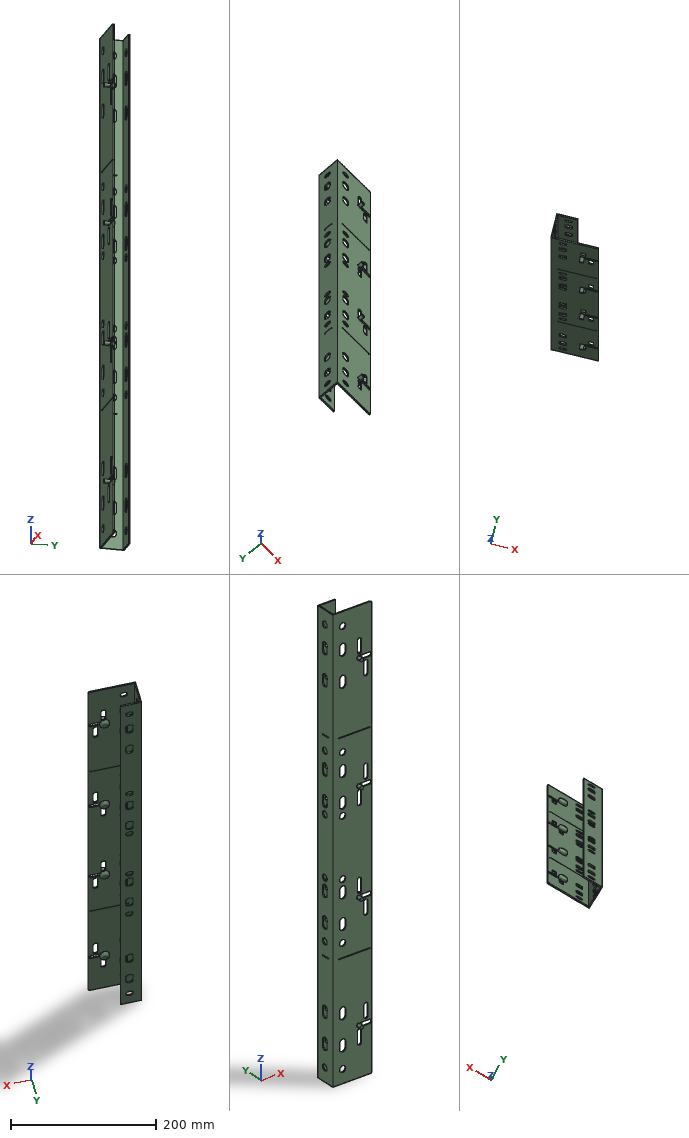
import cadquery as cq

length = 741.0
front_width = 67.5
rear_width = 30.0
depth = 35.0
thickness = 2.0
corner_radius = 3.0

hole_diameter = 10.5
hole_slot_length = 20.0
flange_hole_x = 17.0
web_hole_y = 18.5
round_hole_heights = [23.0, 221.0, 321.0]
slot_hole_heights = [60.0, 110.5, 250.5, 300.0]

slit_height = 197.0
slit_width = 1.0
front_slit_start = 10.5
front_slit_end = 64.5
web_slit_length = 13.0

small_slot_width = 7.0
small_slot_length = 25.0
inner_slot_offset = 18.5
outer_slot_offset = 19.0
end_group_height = 82.0
middle_group_height = 283.0
inner_slot_x = 46.0
outer_slot_x = 57.0
level_slot_x = 54.0
stud_x = level_slot_x - (small_slot_length - small_slot_width) / 2
stud_projection = 7.0
stud_diameter = 6.0
dome_diameter = 14.0
dome_height = 6.0
dome_edge_radius = 4.0


def make_channel():
    """Channel of constant wall thickness, with rounded free corners on the front flange."""
    envelope = cq.Workplane("XY").box(front_width, depth, length, centered=(False, False, True))
    inside = (
        cq.Workplane("XY")
        .box(front_width, depth - 2 * thickness, length, centered=(False, False, True))
        .translate((thickness, thickness, 0))
    )
    rear_trim = (
        cq.Workplane("XY")
        .box(front_width, depth, length, centered=(False, False, True))
        .translate((rear_width, thickness, 0))
    )
    channel = envelope.cut(inside).cut(rear_trim)
    return channel.edges("|Y and >X").fillet(corner_radius)


def cut_flanges(body, outline, x, z, reach):
    """Cut an outline at (x, z) from the front face to the given reach along +Y."""
    return body.cut(outline(cq.Workplane("XZ").center(x, z)).extrude(-reach))


def cut_web(body, outline, y, z):
    """Cut an outline at (y, z) through the web."""
    return body.cut(outline(cq.Workplane("YZ").center(y, z)).extrude(thickness))


def round_hole(plane):
    return plane.circle(hole_diameter / 2)


def slot_hole(plane):
    return plane.slot2D(hole_slot_length, hole_diameter, 90)


def front_slit(plane):
    return plane.rect(front_slit_end - front_slit_start, slit_width)


def web_slit(plane):
    return plane.rect(web_slit_length, slit_width)


def upright_slot(plane):
    return plane.slot2D(small_slot_length, small_slot_width, 90)


def level_slot(plane):
    return plane.slot2D(small_slot_length, small_slot_width)


def cut_fixing_holes(body, end):
    """Holes through the web and both flanges on one half; end is 1 at the top, -1 at the bottom."""
    for outline, heights in ((round_hole, round_hole_heights), (slot_hole, slot_hole_heights)):
        for height in heights:
            z = end * (length / 2 - height)
            body = cut_flanges(body, outline, flange_hole_x, z, depth)
            body = cut_web(body, outline, web_hole_y, z)
    return body


def cut_slits(body, end):
    z = end * (length / 2 - slit_height)
    body = cut_flanges(body, front_slit, (front_slit_start + front_slit_end) / 2, z, thickness)
    return cut_web(body, web_slit, depth / 2, z)


def make_stud(z):
    """Shank through the front flange, with a domed head against the flange's inner face."""
    shank = (
        cq.Workplane("XZ", origin=(stud_x, -stud_projection, z))
        .circle(stud_diameter / 2)
        .extrude(-(stud_projection + thickness))
    )
    head = (
        cq.Workplane("XZ", origin=(stud_x, thickness, z))
        .circle(dome_diameter / 2)
        .extrude(-dome_height)
        .faces(">Y")
        .edges()
        .fillet(dome_edge_radius)
    )
    return shank.union(head)


def add_slot_group(body, z, inner_side):
    """Three slots and a stud; inner_side is 1 where the slot nearer the web lies above, else -1."""
    inner_z = z + inner_side * inner_slot_offset
    outer_z = z - inner_side * outer_slot_offset
    body = cut_flanges(body, upright_slot, inner_slot_x, inner_z, thickness)
    body = cut_flanges(body, upright_slot, outer_slot_x, outer_z, thickness)
    body = cut_flanges(body, level_slot, level_slot_x, z, thickness)
    return body.union(make_stud(z))


result = make_channel()
for end in (1, -1):
    result = cut_fixing_holes(result, end)
    result = cut_slits(result, end)
    result = add_slot_group(result, end * (length / 2 - end_group_height), end)
    result = add_slot_group(result, end * (length / 2 - middle_group_height), -end)